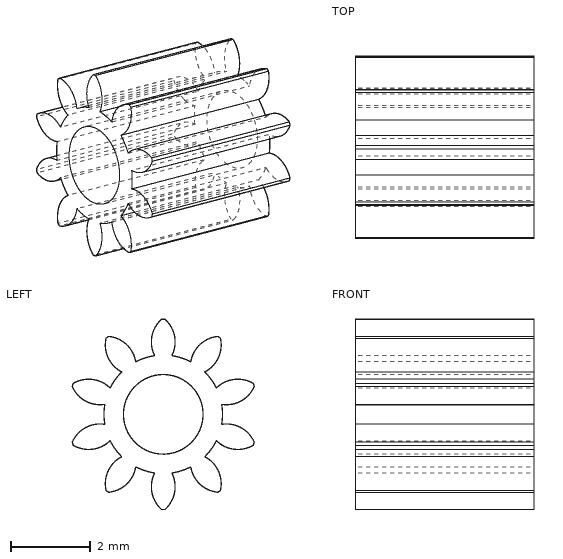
import cadquery as cq
import math

length = 4.5
tooth_count = 10
tip_radius = 2.4
root_radius = 1.5
bore_diameter = 2.0

widest_radius = 1.825
widest_half_width = 0.3
tip_half_width = 0.045

tip_corner_height = math.sqrt(tip_radius**2 - tip_half_width**2)
flank_rise = tip_corner_height - widest_radius
flank_inset = widest_half_width - tip_half_width
flank_radius = (flank_rise**2 + flank_inset**2) / (2 * flank_inset)
flank_center_offset = flank_radius - widest_half_width

merge_depth = 0.095
base_height = root_radius - merge_depth
base_half_width = (
    math.sqrt(flank_radius**2 - (widest_radius - base_height) ** 2) - flank_center_offset
)


def make_tooth(angle):
    """Tooth pointing along +Z, turned by angle degrees about the X axis."""
    tooth = (
        cq.Workplane("YZ")
        .moveTo(-base_half_width, base_height)
        .threePointArc((-widest_half_width, widest_radius), (-tip_half_width, tip_corner_height))
        .threePointArc((0, tip_radius), (tip_half_width, tip_corner_height))
        .threePointArc((widest_half_width, widest_radius), (base_half_width, base_height))
        .close()
        .extrude(length / 2, both=True)
    )
    return tooth.rotate((0, 0, 0), (1, 0, 0), angle)


result = cq.Workplane("YZ").circle(root_radius).extrude(length / 2, both=True)

for index in range(tooth_count):
    result = result.union(make_tooth(index * 360 / tooth_count))

bore = cq.Workplane("YZ").circle(bore_diameter / 2).extrude(length / 2, both=True)
result = result.cut(bore)